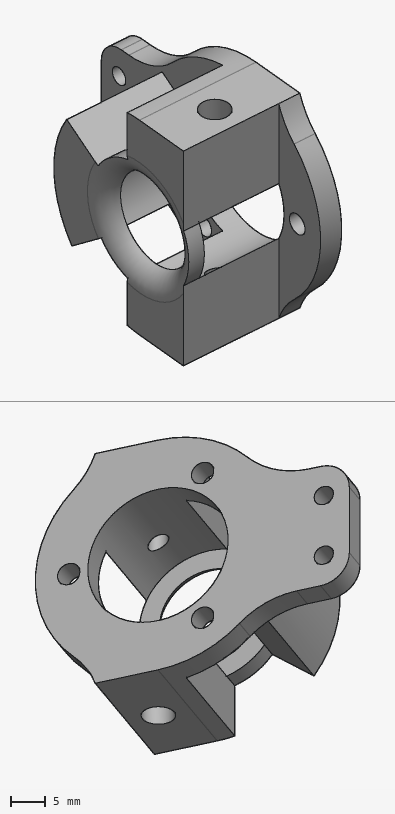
import cadquery as cq
import math

depth = 22.0
plate_thickness = 4.0
body_radius = 19.25
chamber_radius = 11.0

tab_left = -30.0
tab_top = 9.0
tab_bottom = -11.0
tab_corner_radius = 4.5
tab_hole_diameter = 3.0
tab_hole_x = -26.0
tab_hole_heights = (4.0, -6.0)

blend_radius = 13.5

pillar_left = -2.75
pillar_right = 9.85
screw_x = 5.0
screw_y = 10.0
screw_diameter = 3.0
screw_head_diameter = 5.0
screw_head_depth = 5.0

arm_start_angle = 148.0
arm_end_angle = 218.0

ring_thickness = 3.0
mouth_diameter = 15.35
mouth_round_radius = 4.0

plate_hole_diameter = 3.5
plate_hole_circle_radius = 14.0
plate_hole_count = 3


def polar(radius, angle):
    """Point at the given radius and angle in radians."""
    return (radius * math.cos(angle), radius * math.sin(angle))


def front_workplane(y=0.0):
    """Workplane at the given Y with local x = X and local y = Z, facing -Y."""
    return cq.Workplane(cq.Plane(origin=(0, y, 0), xDir=(1, 0, 0), normal=(0, -1, 0)))


def extrude_back(sketch, length):
    return sketch.extrude(-length)


def cylinder(radius, y, length):
    return extrude_back(front_workplane(y).circle(radius), length)


def tab_blend(edge_z):
    """Start, middle and end of the arc from the tab edge at edge_z to the body circle."""
    side = math.copysign(1.0, edge_z)
    center_z = edge_z + side * blend_radius
    center_x = -math.sqrt((body_radius + blend_radius) ** 2 - center_z**2)
    start = (center_x, edge_z)
    end = polar(body_radius, math.atan2(center_z, center_x))
    start_angle = math.atan2(-side, 0.0)
    end_angle = math.atan2(-center_z, -center_x)
    offset = polar(blend_radius, (start_angle + end_angle) / 2)
    middle = (center_x + offset[0], center_z + offset[1])
    return start, middle, end


def shoulder_blend():
    """Corner, middle and end of the arc from the upper pillar's right corner to the body circle."""
    corner = (pillar_right, body_radius)
    corner_distance = math.hypot(*corner)
    center_distance = body_radius + blend_radius
    squares = center_distance**2 + corner_distance**2 - blend_radius**2
    angle_to_corner = math.acos(squares / (2 * center_distance * corner_distance))
    center_angle = math.atan2(corner[1], corner[0]) - angle_to_corner
    center = polar(center_distance, center_angle)
    end = polar(body_radius, center_angle)
    start_angle = math.atan2(corner[1] - center[1], corner[0] - center[0]) % math.tau
    end_angle = center_angle + math.pi
    offset = polar(blend_radius, (start_angle + end_angle) / 2)
    middle = (center[0] + offset[0], center[1] + offset[1])
    return corner, middle, end


def body_arc_middle(first, second):
    """Middle of the body circle's arc between two of its points."""
    start_angle = math.atan2(first[1], first[0])
    end_angle = math.atan2(second[1], second[0])
    return polar(body_radius, (start_angle + end_angle) / 2)


def mirrored(point):
    return (point[0], -point[1])


def outline():
    """Closed outline of the plate, including the flats over the pillars."""
    upper_start, upper_middle, upper_end = tab_blend(tab_top)
    lower_start, lower_middle, lower_end = tab_blend(tab_bottom)
    corner, shoulder_middle, shoulder_end = shoulder_blend()
    top = (0.0, body_radius)
    bottom = mirrored(top)
    return (
        front_workplane()
        .moveTo(tab_left, tab_top)
        .lineTo(*upper_start)
        .threePointArc(upper_middle, upper_end)
        .threePointArc(body_arc_middle(upper_end, top), top)
        .lineTo(*corner)
        .threePointArc(shoulder_middle, shoulder_end)
        .threePointArc((body_radius, 0.0), mirrored(shoulder_end))
        .threePointArc(mirrored(shoulder_middle), mirrored(corner))
        .lineTo(*bottom)
        .threePointArc(body_arc_middle(lower_end, bottom), lower_end)
        .threePointArc(lower_middle, lower_start)
        .lineTo(tab_left, tab_bottom)
        .close()
    )


def plate():
    blank = extrude_back(outline(), depth).edges("|Y and <X").fillet(tab_corner_radius)
    front_part = cq.Workplane("XY").box(
        4 * body_radius, depth - plate_thickness, 4 * body_radius, centered=(True, False, True)
    )
    return blank.cut(front_part)


def pillars():
    """Full-depth slice of the outline between the pillar sides."""
    width = pillar_right - pillar_left
    slab = (
        cq.Workplane("XY")
        .box(width, depth, 2 * body_radius, centered=(False, False, True))
        .translate((pillar_left, 0, 0))
    )
    return extrude_back(outline(), depth).intersect(slab)


def arm():
    """Sector of the body circle; the chamber later removes its inner part."""
    start_angle = math.radians(arm_start_angle)
    end_angle = math.radians(arm_end_angle)
    middle_angle = (start_angle + end_angle) / 2
    sector = (
        front_workplane()
        .moveTo(0, 0)
        .lineTo(*polar(body_radius, start_angle))
        .threePointArc(polar(body_radius, middle_angle), polar(body_radius, end_angle))
        .close()
    )
    return extrude_back(sector, depth)


def mouth_cutter():
    """Hole through the ring, flaring towards the front face along a circular arc."""
    mouth_radius = mouth_diameter / 2
    flare_radius = mouth_radius + mouth_round_radius
    diagonal = mouth_round_radius * math.sqrt(0.5)
    profile = (
        cq.Workplane("XY")
        .lineTo(flare_radius, 0)
        .threePointArc(
            (flare_radius - diagonal, mouth_round_radius - diagonal),
            (mouth_radius, mouth_round_radius),
        )
        .lineTo(0, mouth_round_radius)
        .close()
    )
    return profile.revolve(360, (0, 0, 0), (0, 1, 0))


def plate_holes():
    tab_points = [(tab_hole_x, z) for z in tab_hole_heights]
    tab_holes = extrude_back(front_workplane().pushPoints(tab_points).circle(tab_hole_diameter / 2), depth)
    circle_holes = extrude_back(
        front_workplane()
        .polarArray(plate_hole_circle_radius, 0, 360, plate_hole_count)
        .circle(plate_hole_diameter / 2),
        depth,
    )
    return tab_holes.union(circle_holes)


def pillar_screw_holes():
    """Vertical hole through both pillars with a head recess at each outer end."""
    base = cq.Workplane("XY").workplane(offset=-body_radius).center(screw_x, screw_y)
    shank = base.circle(screw_diameter / 2).extrude(2 * body_radius)
    lower_head = base.circle(screw_head_diameter / 2).extrude(screw_head_depth)
    upper_head = lower_head.mirror("XY")
    return shank.union(lower_head).union(upper_head)


body = plate().union(pillars()).union(arm())
body = body.cut(cylinder(chamber_radius, 0, depth))
body = body.union(cylinder(chamber_radius, 0, ring_thickness))
body = body.cut(mouth_cutter())
result = body.cut(plate_holes()).cut(pillar_screw_holes())